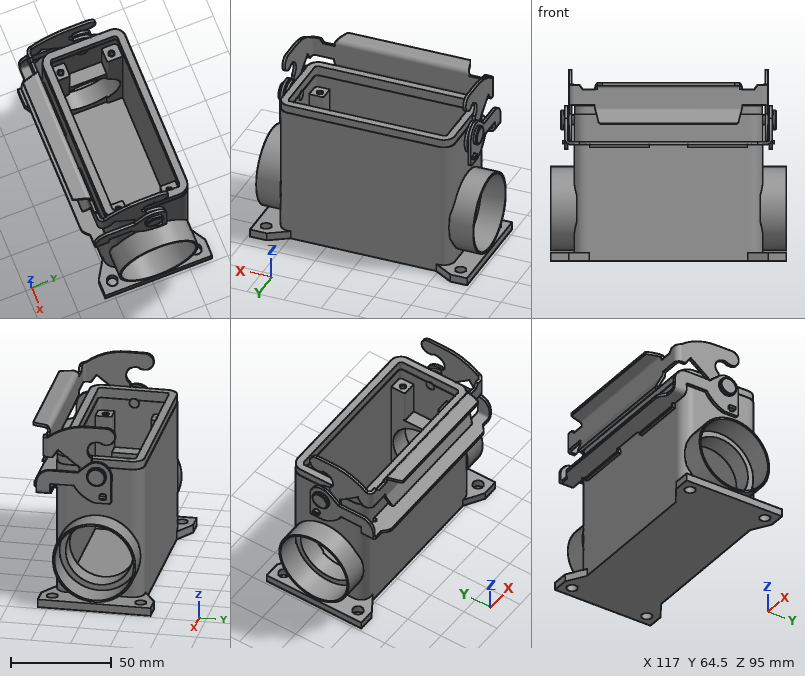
import cadquery as cq
import math

SIDES = (-1, 1)

length = 117.0
housing_x = 93.6
housing_y = 44.5
housing_top = 77.2
housing_radius = 6.1
wall_x = 4.1
wall_y = 4.3
cavity_radius = 1.6
floor_top = 4.2

rim_bottom = 73.0
rim_inset = 0.2
lip_bottom = 71.8
lip_overhang = 0.2

foot_y = 57.1
foot_thickness = 4.2
foot_tip = 9.0
foot_root = 19.2
foot_hole_radius = 2.8
foot_hole_x = 52.4
foot_hole_y = 22.3

entry_z = 26.1
entry_radius = 21.0
entry_bore_radius = 20.0
entry_hole_radius = 17.0
entry_depth = 13.0
entry_block_top = 45.6
entry_block_faces = {-1: 36.0, 1: 35.2}

post_x = 7.5
post_y = 8.0
post_top = 65.0
post_fillet = 0.8
post_hole_x = 38.7
post_hole_y = 13.6
post_hole_radius = 1.2
post_hole_chamfer = 0.5
post_hole_depth = 14.0

pin_z = 70.1
pin_radius = 2.5
head_radius = 4.8
head_chamfer = 0.6
head_inner_x = 51.8
head_outer_x = 53.6

sheet = 1.5
bend = 2.9

lever_x = 49.5
bridge_y = -28.1
bridge_bottom = 77.5
bridge_top = 87.3
notch_bottom = 85.2
lever_top = 95.0
tip_y = 4.5
tip_radius = 4.3
neck_y = -3.2
lobe_y = -1.0
lobe_z = 68.1
lobe_radius = 8.2
grip_top = 88.6
grip_edge_y = -35.9
flap_bottom = 67.9
flap_bend_z = 75.5
flap_angle = 24.0

bail_x = 51.5
bail_bottom = 57.8
bail_lobe_bottom = 55.6
bail_back = 7.1
bail_arm_top = 71.0
bail_arm_bottom = 64.0
bail_front = -30.8
elbow_radius = 7.1
elbow_inner_radius = 0.8
bail_corner = 0.7
tray_back = -23.8
tray_front = -34.0
tab_inner_x = 9.5
tab_outer_x = 39.0
tab_bottom = 56.6
tab_bend = 1.4
relief_radius = 1.0
slot_depth = 1.0
stop_y = 3.0
stop_z = 59.1
stop_hole_radius = 1.8
stop_width = 3.4
stop_height = 1.5
stop_outer_x = 52.5

trim_length = 2 * length


def box(x0, x1, y0, y1, z0, z1):
    """Box between the given limits."""
    return cq.Workplane("XY").box(x1 - x0, y1 - y0, z1 - z0, centered=False).translate((x0, y0, z0))


def rounded_block(size_x, size_y, radius, bottom, top):
    """Centred upright block with rounded vertical edges."""
    block = cq.Workplane("XY").workplane(offset=bottom).rect(size_x, size_y).extrude(top - bottom)
    return block.edges("|Z").fillet(radius)


def x_cylinder(y, z, radius, x0, x1):
    """Cylinder along X between x0 and x1."""
    start = min(x0, x1)
    return cq.Workplane("YZ").workplane(offset=start).center(y, z).circle(radius).extrude(abs(x1 - x0))


def mirrored_outline(plane, points):
    """Closed outline from its +X half points, mirrored across X = 0."""
    return cq.Workplane(plane).polyline(points + [(-a, b) for a, b in reversed(points)]).close()



def shell():
    body = rounded_block(housing_x, housing_y, housing_radius, 0, rim_bottom)
    rim = rounded_block(
        housing_x - 2 * rim_inset, housing_y - 2 * rim_inset,
        housing_radius - rim_inset,
        rim_bottom, housing_top,
    )
    return body.union(rim)


def cavity():
    opening_x = housing_x - 2 * wall_x
    opening_y = housing_y - 2 * wall_y
    lower = rounded_block(
        opening_x + 2 * lip_overhang, opening_y + 2 * lip_overhang,
        cavity_radius + lip_overhang,
        floor_top, lip_bottom,
    )
    return lower.union(rounded_block(opening_x, opening_y, cavity_radius, lip_bottom, housing_top))


def foot(side):
    """End plate whose inner corners slant in to the housing walls."""
    half = length / 2
    points = [
        (side * half, foot_y / 2),
        (side * (half - foot_tip), foot_y / 2),
        (side * (half - foot_root), housing_y / 2),
        (side * (half - foot_root), -housing_y / 2),
        (side * (half - foot_tip), -foot_y / 2),
        (side * half, -foot_y / 2),
    ]
    plate = cq.Workplane("XY").polyline(points).close().extrude(foot_thickness)
    spots = [(side * foot_hole_x, foot_hole_y), (side * foot_hole_x, -foot_hole_y)]
    holes = cq.Workplane("XY").pushPoints(spots).circle(foot_hole_radius).extrude(foot_thickness)
    return plate.cut(holes)


def entry_block(side):
    """Thick lower end wall inside the cavity, around the cable hole."""
    x0, x1 = sorted((side * entry_block_faces[side], side * (housing_x / 2 - wall_x / 2)))
    half_y = housing_y / 2 - wall_y / 2
    return box(x0, x1, -half_y, half_y, floor_top, entry_block_top)


def screw_post(side_x, side_y):
    wall_face_x = housing_x / 2 - wall_x
    wall_face_y = housing_y / 2 - wall_y
    post = box(
        wall_face_x - post_x, wall_face_x + lip_overhang,
        wall_face_y - post_y, wall_face_y + lip_overhang,
        floor_top, post_top,
    )
    post = post.edges("|Z and <X and <Y").fillet(post_fillet)
    post = post.edges("|Z and >X and >Y").fillet(cavity_radius + lip_overhang)
    if side_x < 0:
        post = post.mirror("YZ")
    if side_y < 0:
        post = post.mirror("XZ")
    return post


def screw_hole(side_x, side_y):
    hole = cq.Workplane("XY").circle(post_hole_radius).extrude(-post_hole_depth)
    mouth = cq.Workplane("XY").circle(post_hole_radius + post_hole_chamfer)
    mouth = mouth.workplane(offset=-post_hole_chamfer).circle(post_hole_radius).loft()
    return hole.union(mouth).translate((side_x * post_hole_x, side_y * post_hole_y, post_top))


def make_housing():
    body = shell().cut(cavity())
    entry_inner_x = length / 2 - entry_depth
    for side in SIDES:
        body = body.union(foot(side))
        body = body.union(entry_block(side))
        body = body.union(x_cylinder(0, entry_z, entry_radius, side * entry_inner_x, side * length / 2))
        for side_y in SIDES:
            body = body.union(screw_post(side, side_y)).cut(screw_hole(side, side_y))
    for side in SIDES:
        body = body.cut(x_cylinder(0, entry_z, entry_bore_radius, side * entry_inner_x, side * length / 2))
        body = body.cut(x_cylinder(0, entry_z, entry_hole_radius, 0, side * length / 2))
        body = body.cut(x_cylinder(0, pin_z, pin_radius, 0, side * housing_x / 2))
    return body



def lever_side_profile():
    """Hook, neck and pivot lobe of the lever, reaching forward to the bridge."""
    tip_z = lever_top - tip_radius
    diagonal = lobe_radius * math.sqrt(0.5)
    neck_base_z = lobe_z + math.sqrt(lobe_radius**2 - (neck_y - lobe_y) ** 2)
    lobe_front = lobe_y - lobe_radius
    return (
        cq.Workplane("YZ").workplane(offset=-length)
        .moveTo(tip_y, lever_top)
        .threePointArc((tip_y + tip_radius, tip_z), (tip_y, tip_z - tip_radius))
        .threePointArc((2.5, 86.6), (1.2, 87.3))
        .threePointArc((-3.4, 86.2), (-5.3, 81.9))
        .threePointArc((-4.7, 80.1), (neck_y, 78.5))
        .lineTo(neck_y, neck_base_z)
        .threePointArc((lobe_y + lobe_radius, lobe_z), (lobe_y, lobe_z - lobe_radius))
        .threePointArc((lobe_y - diagonal, lobe_z - diagonal), (lobe_front, lobe_z))
        .lineTo(lobe_front, 73.2)
        .lineTo(-20.0, 81.5)
        .lineTo(-22.9, bridge_bottom)
        .lineTo(bridge_y, bridge_bottom)
        .lineTo(bridge_y, bridge_top)
        .lineTo(-25.4, 87.9)
        .threePointArc((-15.6, 93.2), (-4.6, lever_top))
        .close()
        .extrude(trim_length)
    )


def lever_channel():
    """U-shaped sheet, bent round the front corners, before it is cut to its side profile."""
    outer = box(-lever_x, lever_x, bridge_y, housing_y, 0, length)
    inner = box(-lever_x + sheet, lever_x - sheet, bridge_y + sheet, housing_y, 0, length)
    outer = outer.edges("|Z and <Y").fillet(bend)
    inner = inner.edges("|Z and <Y").fillet(bend - sheet)
    return outer.cut(inner)


def bridge_notch():
    """Lowered top edge of the bridge, left between its two shoulders."""
    points = [(44.1, bridge_top + sheet), (44.1, bridge_top), (42.5, notch_bottom)]
    return mirrored_outline("XZ", points).extrude(housing_y)


def grip():
    """Upper lip, bent outward from the bridge."""
    back = bridge_y + sheet
    strip = (
        cq.Workplane("YZ").workplane(offset=-length)
        .moveTo(bridge_y, notch_bottom)
        .lineTo(back, notch_bottom)
        .lineTo(back, grip_top - bend)
        .radiusArc((back - bend, grip_top), -bend)
        .lineTo(grip_edge_y, grip_top)
        .lineTo(grip_edge_y, grip_top - sheet)
        .lineTo(back - bend, grip_top - sheet)
        .radiusArc((bridge_y, grip_top - bend), bend - sheet)
        .close()
        .extrude(trim_length)
    )
    points = [(36.5, back), (35.5, bridge_y), (33.9, -33.7), (33.0, grip_edge_y)]
    return strip.intersect(mirrored_outline("XY", points).extrude(length))


def flap():
    """Lower lip, tilted outward below the bridge."""
    slope = math.tan(math.radians(flap_angle))
    back = bridge_y + sheet
    edge_rise = sheet * math.sin(math.radians(flap_angle))
    front_end = bridge_y - (flap_bend_z - flap_bottom - edge_rise) * slope
    back_end = front_end + sheet * math.cos(math.radians(flap_angle))
    back_bend_z = flap_bend_z - sheet * math.tan(math.radians(flap_angle / 2))
    strip = (
        cq.Workplane("YZ").workplane(offset=-length)
        .polyline([
            (bridge_y, bridge_bottom),
            (bridge_y, flap_bend_z),
            (front_end, flap_bottom + edge_rise),
            (back_end, flap_bottom),
            (back, back_bend_z),
            (back, bridge_bottom),
        ])
        .close()
        .extrude(trim_length)
    )
    strip = strip.edges(cq.NearestToPointSelector((0, bridge_y, flap_bend_z))).fillet(bend - sheet)
    strip = strip.edges(cq.NearestToPointSelector((0, back, back_bend_z))).fillet(bend)
    points = [(36.9, bridge_bottom), (34.7, 69.0), (33.7, flap_bottom)]
    return strip.intersect(mirrored_outline("XZ", points).extrude(length))


def make_lever():
    lever = lever_channel().intersect(lever_side_profile())
    return lever.cut(bridge_notch()).union(grip()).union(flap())


def bail_plate(side):
    """Side plate: pivot eye, stop lobe and the arm that turns down to the tray."""
    eye = bail_back * math.sqrt(0.5)
    plate = (
        cq.Workplane("YZ").workplane(offset=min(side * bail_x, side * (bail_x - sheet)))
        .moveTo(bail_back, bail_lobe_bottom + bail_corner)
        .lineTo(bail_back, pin_z)
        .threePointArc((0, pin_z + bail_back), (-eye, pin_z + eye))
        .lineTo(-8.9, 72.0)
        .lineTo(-9.7, bail_arm_top)
        .lineTo(bail_front + elbow_radius, bail_arm_top)
        .radiusArc((bail_front, bail_arm_top - elbow_radius), -elbow_radius)
        .lineTo(bail_front, bail_bottom + bend)
        .lineTo(tray_back, bail_bottom + bend)
        .lineTo(tray_back, bail_arm_bottom - elbow_inner_radius)
        .radiusArc((tray_back + elbow_inner_radius, bail_arm_bottom), elbow_inner_radius)
        .lineTo(-11.7, bail_arm_bottom)
        .threePointArc((-6.9, 58.6), (-1.2, bail_lobe_bottom))
        .lineTo(bail_back - bail_corner, bail_lobe_bottom)
        .close()
        .extrude(sheet)
    )
    hole = x_cylinder(stop_y, stop_z, stop_hole_radius, 0, side * length)
    x0, x1 = sorted((side * (bail_x - sheet), side * stop_outer_x))
    stop = box(
        x0, x1,
        stop_y - stop_width / 2, stop_y + stop_width / 2,
        stop_z - stop_height / 2, stop_z + stop_height / 2,
    )
    return plate.cut(hole).union(stop)


def bail_tray():
    """Front strip of the bail with its bent-up ends and curved front edge."""
    outer = box(-bail_x, bail_x, tray_front, tray_back, bail_bottom, housing_top)
    inner = box(-bail_x + sheet, bail_x - sheet, tray_front, tray_back, bail_bottom + sheet, housing_top)
    outer = outer.edges("|Y and <Z").fillet(bend)
    inner = inner.edges("|Y and <Z").fillet(bend - sheet)
    outline = (
        cq.Workplane("XY")
        .moveTo(-bail_x, tray_back)
        .lineTo(-bail_x, bail_front)
        .lineTo(-44.2, bail_front)
        .lineTo(-42.5, -32.5)
        .threePointArc((-41.1, -33.6), (-39.2, tray_front))
        .lineTo(39.2, tray_front)
        .threePointArc((41.1, -33.6), (42.5, -32.5))
        .lineTo(44.2, bail_front)
        .lineTo(bail_x, bail_front)
        .lineTo(bail_x, tray_back)
        .close()
        .extrude(bail_bottom + bend)
    )
    return outer.cut(inner).intersect(outline)


def bail_tab(side):
    """Tab bent down from the tray to rest against the housing wall."""
    x0, x1 = sorted((side * tab_inner_x, side * tab_outer_x))
    tab = box(x0, x1, tray_back, -housing_y / 2, tab_bottom, bail_bottom + sheet)
    return tab.edges("|X and >Y and >Z").fillet(tab_bend)


def make_bail():
    bail = bail_tray()
    slot = box(-tab_inner_x, tab_inner_x, tray_back - slot_depth, tray_back, 0, length)
    bail = bail.cut(slot.edges("|Z and <Y").fillet(slot_depth / 2))
    for side in SIDES:
        relief_x = side * (tab_outer_x + relief_radius)
        bail = bail.cut(cq.Workplane("XY").center(relief_x, tray_back).circle(relief_radius).extrude(length))
        bail = bail.union(bail_plate(side)).union(bail_tab(side))
    return bail


def pivot_pin(side):
    """Headed pin from the inner face of the housing wall out through lever and bail."""
    inner_x = side * (housing_x / 2 - wall_x + lip_overhang)
    shaft = x_cylinder(0, pin_z, pin_radius, inner_x, side * head_outer_x)
    head = x_cylinder(0, pin_z, head_radius, side * head_inner_x, side * head_outer_x)
    head = head.faces(">X" if side > 0 else "<X").chamfer(head_chamfer)
    return shaft.union(head)


def make_latch():
    """Lever and bail held together by the two pivot pins."""
    latch = make_lever()
    for side in SIDES:
        latch = latch.union(pivot_pin(side))
    return latch.union(make_bail())


housing = make_housing()
latch = make_latch()
result = cq.Compound.makeCompound([housing.val(), latch.val()])